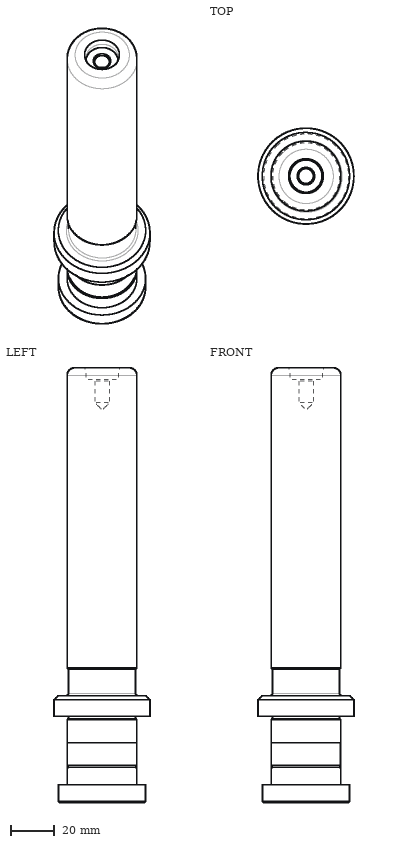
import cadquery as cq

total_height = 199.0
pin_radius = 16.02
tip_fillet = 3.5

flange_radius = 20.0
flange_height = 8.2
flange_chamfer = 0.5
foot_height = 16.1
foot_radius = pin_radius

end_chamfer_width = 0.5
end_chamfer_height = 1.0
shank_split_z = 27.5
shank_radius = 16.0
undercut_depth = 0.5
undercut_height = 1.5
undercut_taper_height = 0.5

collar_radius = 21.99
collar_bottom_z = 39.5
collar_top_z = 49.0
collar_chamfer = 2.0
collar_fillet = 1.0

neck_radius = 15.42
neck_top_z = 61.0
neck_taper_height = 0.5

recess_radius = 7.4
recess_depth = 5.4
recess_taper_width = 0.5
recess_taper_height = 2.4
bore_radius = 3.4
bore_depth = 16.0
bore_chamfer = 0.5


def make_foot():
    """Flange with a short cylindrical neck."""
    flange = (
        cq.Workplane("XY")
        .circle(flange_radius)
        .extrude(flange_height)
        .faces("<Z")
        .chamfer(flange_chamfer)
    )
    neck = cq.Workplane("XY").circle(foot_radius).extrude(foot_height)
    return flange.union(neck)


def make_pin_body():
    """Turned pin, revolved from its half section (radius, height)."""
    undercut_bottom_z = collar_bottom_z - undercut_height
    collar_edge_z = collar_top_z - collar_chamfer
    body = (
        cq.Workplane("XZ")
        .moveTo(0, foot_height)
        .lineTo(shank_radius - end_chamfer_width, foot_height)
        .lineTo(shank_radius, foot_height + end_chamfer_height)
        .lineTo(shank_radius, shank_split_z)
        .lineTo(pin_radius, shank_split_z)
        .lineTo(pin_radius, undercut_bottom_z)
        .lineTo(pin_radius - undercut_depth, undercut_bottom_z + undercut_taper_height)
        .lineTo(pin_radius - undercut_depth, collar_bottom_z)
        .lineTo(collar_radius, collar_bottom_z)
        .lineTo(collar_radius, collar_edge_z)
        .lineTo(collar_radius - collar_chamfer, collar_top_z)
        .lineTo(neck_radius + collar_fillet, collar_top_z)
        .radiusArc((neck_radius, collar_top_z + collar_fillet), collar_fillet)
        .lineTo(neck_radius, neck_top_z)
        .lineTo(pin_radius, neck_top_z + neck_taper_height)
        .lineTo(pin_radius, total_height)
        .lineTo(0, total_height)
        .close()
        .revolve(360, (0, 0, 0), (0, 1, 0))
    )
    return body.faces(">Z").edges().fillet(tip_fillet)


def make_centre_hole():
    """Recess and smaller blind bore, each with a tapered mouth."""
    recess_floor_z = total_height - recess_depth
    return (
        cq.Workplane("XZ")
        .moveTo(0, total_height)
        .lineTo(recess_radius + recess_taper_width, total_height)
        .lineTo(recess_radius, total_height - recess_taper_height)
        .lineTo(recess_radius, recess_floor_z)
        .lineTo(bore_radius + bore_chamfer, recess_floor_z)
        .lineTo(bore_radius, recess_floor_z - bore_chamfer)
        .lineTo(bore_radius, total_height - bore_depth)
        .lineTo(0, total_height - bore_depth - bore_radius)
        .close()
        .revolve(360, (0, 0, 0), (0, 1, 0))
    )


foot = make_foot()
pin = make_pin_body().cut(make_centre_hole())

result = cq.Compound.makeCompound([foot.val(), pin.val()])